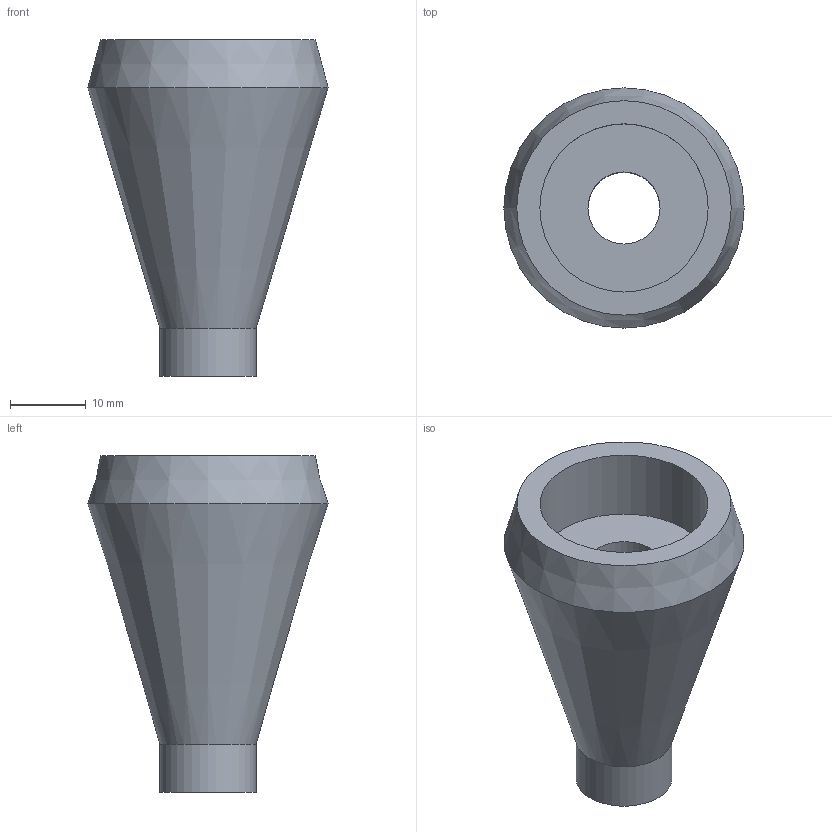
import cadquery as cq
import math

INCH = 25.4

stem_diameter = 0.5 * INCH
stem_height = 0.25 * INCH
max_diameter = 1.25 * INCH
cone_height = 1.25 * INCH
rim_height = 0.25 * INCH
rim_taper_angle = 15.0

bore_diameter = 0.375 * INCH
recess_diameter = 0.875 * INCH
recess_depth = 0.375 * INCH

total_height = stem_height + cone_height + rim_height
rim_top_radius = max_diameter / 2 - rim_height * math.tan(math.radians(rim_taper_angle))


def make_body():
    """Solid of revolution about Z: straight stem, widening cone, tapered rim."""
    cone_top = stem_height + cone_height
    return (
        cq.Workplane("XZ")
        .moveTo(0, 0)
        .lineTo(stem_diameter / 2, 0)
        .lineTo(stem_diameter / 2, stem_height)
        .lineTo(max_diameter / 2, cone_top)
        .lineTo(rim_top_radius, total_height)
        .lineTo(0, total_height)
        .close()
        .revolve(360, (0, 0, 0), (0, 1, 0))
    )


def make_bore():
    """Cylinder along the whole axis."""
    return cq.Workplane("XY").circle(bore_diameter / 2).extrude(total_height)


def make_recess():
    """Flat-bottomed round pocket sunk from the top face."""
    recess_floor = total_height - recess_depth
    return (
        cq.Workplane("XY")
        .workplane(offset=recess_floor)
        .circle(recess_diameter / 2)
        .extrude(recess_depth)
    )


result = make_body().cut(make_bore()).cut(make_recess())